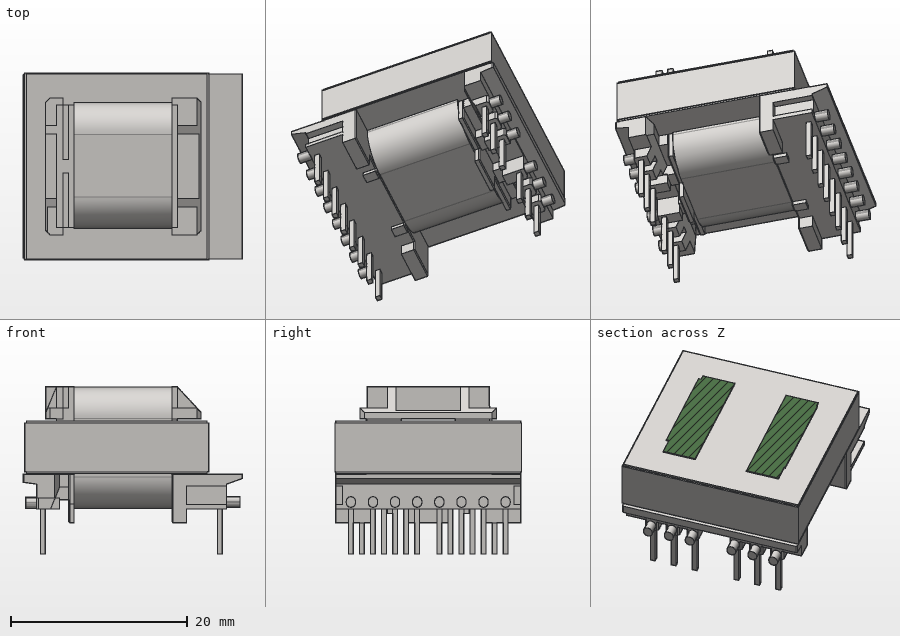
import cadquery as cq

TOP_Z = 18.91

OVERALL_LENGTH = 24.8

CORE_LENGTH = 20.82
CORE_WIDTH = 21.12
CORE_BOTTOM = 9.08
CORE_TOP = 15.05
TAPE_HEIGHT = 5.54
TAPE_THICKNESS_X = 0.19
TAPE_THICKNESS_Y = 0.09

WINDING_LEFT = -4.84
WINDING_RIGHT = 6.23
WINDING_WIDTH = 14.27
WINDING_BOTTOM = 5.12
WINDING_TOP = TOP_Z - 0.01
WINDING_RADIUS = 3.6
WINDING_OFFSET_Y = 0.09
CORE_GAP_WIDTH = 6.1

FLANGE_THICKNESS = 0.6
FLANGE_WIDTH = 13.84
LEFT_FLANGE_OUTER = WINDING_LEFT - FLANGE_THICKNESS
RIGHT_FLANGE_OUTER = WINDING_RIGHT + FLANGE_THICKNESS
FRONT_WALL_INNER = -6.1
FRONT_WALL_OUTER = -6.82
WALL_BRIDGE_WIDTH = 1.52

LEDGE_WIDTH = 15.46
LEDGE_BOTTOM = 15.27
LEDGE_TOP = 16.52
LEFT_LEDGE_OUTER = -8.05
RIGHT_LEDGE_OUTER = 9.54
LEDGE_CORNER = 0.5
LEFT_FLOOR_Z = 15.92
RIGHT_FLOOR_Z = 16.25
LEFT_SLOPE_FOOT_Z = 15.95
RIGHT_SLOPE_FOOT_Z = 16.0
RIB_INNER_Y = 3.64
RIB_THICKNESS = 0.97
RIB_OUTER_Y = RIB_INNER_Y + RIB_THICKNESS

BASE_WIDTH = 20.94
CORE_CLEARANCE = 0.04
BASE_TOP = CORE_BOTTOM - CORE_CLEARANCE
BASE_FOOT_Z = 5.07
LEG_BOTTOM = 3.52
EDGE_CHAMFER = 0.13
LIP_FOOT_Z = 7.89
LEFT_LIP_X = -10.6
LEFT_LIP_EDGE_Z = 8.1
LEFT_FACE_X = -9.07
LEFT_BACK_X = -6.47
LEFT_BEAM_BOTTOM = 6.33
BACK_CORNER_X = 0.58
BACK_CORNER_Y = 1.5
BACK_SLOPE_TOP_Z = 7.55
BACK_SLOPE_FOOT_X = -7.5
BACK_SLOPE_INNER_Y = 3.4
NOTCH_WIDTH = 3.84
NOTCH_TOP_Z = 7.6
KEY_INNER_Y = 1.57
KEY_BOTTOM = 6.13
TOOTH_WIDTH = 1.6
TOOTH_CHAMFER = 0.2
LOWER_FLANGE_BOTTOM = 5.65
CENTRE_LEG_WIDTH = 4.48

RIGHT_LIP_X = LEFT_LIP_X + OVERALL_LENGTH
RIGHT_LIP_EDGE_Z = 8.53
RIGHT_FACE_X = 12.42
LEG_OUTER_X = 7.88
SIDE_LEG_INNER_Y = 6.44
SIDE_GROOVE_BOTTOM = 5.62
SIDE_GROOVE_TOP = 7.67
SIDE_GROOVE_DEPTH = 0.75
LUG_Y = 4.1
LUG_WIDTH = 1.1
LUG_BOTTOM = 4.58

PIN_SIZE = 0.57
PIN_LENGTH = 5.75
LEFT_PIN_X = -8.35
PIN_ROW_SPACING = 20
RIGHT_PIN_X = LEFT_PIN_X + PIN_ROW_SPACING
PIN_PITCH = 2.5
LEFT_PINS_PER_SIDE = 3
RIGHT_PIN_COUNT = 8
LEFT_PIN_Y = [
    side * PIN_PITCH * step for side in (-1, 1) for step in range(1, LEFT_PINS_PER_SIDE + 1)
]
RIGHT_PIN_Y = [
    PIN_PITCH * (index - (RIGHT_PIN_COUNT - 1) / 2) for index in range(RIGHT_PIN_COUNT)
]
WIRE_WIDTH = 1.04
WIRE_HEIGHT = 1.2
LEFT_WIRE_END = -10.31
RIGHT_WIRE_END = 13.93
LEFT_WIRE_Z = 5.82
LEFT_END_WIRE_Z = 5.72
RIGHT_WIRE_Z = 5.88


def block(x_range, y_range, z_range):
    """Box between the given limits."""
    size = [high - low for low, high in (x_range, y_range, z_range)]
    corner = (x_range[0], y_range[0], z_range[0])
    return cq.Workplane("XY").box(*size, centered=False).translate(corner)


def centred(x_range, width, z_range):
    """Box symmetric about Y = 0."""
    return block(x_range, (-width / 2, width / 2), z_range)


def side_profile(points, y_range):
    """Prism along Y from an (x, z) outline."""
    depth = y_range[1] - y_range[0]
    prism = cq.Workplane("XZ").polyline(points).close().extrude(-depth)
    return prism.translate((0, y_range[0], 0))


def mirrored_pair(body):
    """The body together with its mirror image across Y = 0."""
    return body.union(body.mirror("XZ"))


def make_core():
    core = cq.Workplane("XY").box(
        CORE_LENGTH - 2 * TAPE_THICKNESS_X,
        CORE_WIDTH - 2 * TAPE_THICKNESS_Y,
        CORE_TOP - CORE_BOTTOM,
    )
    tape = cq.Workplane("XY").box(CORE_LENGTH, CORE_WIDTH, TAPE_HEIGHT)
    return core.union(tape).translate((0, 0, (CORE_TOP + CORE_BOTTOM) / 2))


def make_winding():
    winding = centred((WINDING_LEFT, WINDING_RIGHT), WINDING_WIDTH, (WINDING_BOTTOM, WINDING_TOP))
    return winding.edges("|X").fillet(WINDING_RADIUS).translate((0, WINDING_OFFSET_Y, 0))


def make_upper_flanges():
    left = centred((LEFT_FLANGE_OUTER, WINDING_LEFT), FLANGE_WIDTH, (CORE_TOP, TOP_Z))
    right = centred((WINDING_RIGHT, RIGHT_FLANGE_OUTER), FLANGE_WIDTH, (CORE_TOP, TOP_Z))
    wall = centred((FRONT_WALL_OUTER, FRONT_WALL_INNER), FLANGE_WIDTH, (CORE_TOP, TOP_Z))
    bridge = centred((FRONT_WALL_INNER, LEFT_FLANGE_OUTER), WALL_BRIDGE_WIDTH, (CORE_TOP, TOP_Z))
    neck = centred((FRONT_WALL_OUTER, LEFT_FLANGE_OUTER), FLANGE_WIDTH, (CORE_TOP, LEDGE_TOP))
    return left.union(right).union(wall).union(bridge).union(neck)


def make_left_ledge():
    ledge = centred((LEFT_LEDGE_OUTER, FRONT_WALL_INNER), LEDGE_WIDTH, (LEDGE_BOTTOM, LEDGE_TOP))
    ledge = ledge.edges("|Z and <X").chamfer(LEDGE_CORNER)
    recess = centred(
        (LEFT_LEDGE_OUTER, FRONT_WALL_OUTER), 2 * RIB_INNER_Y, (LEFT_FLOOR_Z, LEDGE_TOP)
    )
    rib = block(
        (LEFT_LEDGE_OUTER, FRONT_WALL_OUTER), (RIB_INNER_Y, RIB_OUTER_Y), (LEDGE_BOTTOM, TOP_Z)
    )
    slope = side_profile(
        [
            (LEFT_LEDGE_OUTER, LEFT_SLOPE_FOOT_Z),
            (FRONT_WALL_OUTER, TOP_Z),
            (LEFT_LEDGE_OUTER, TOP_Z),
        ],
        (-LEDGE_WIDTH / 2, -RIB_INNER_Y),
    )
    return ledge.cut(recess).union(mirrored_pair(rib)).cut(slope)


def make_right_ledge():
    ledge = centred((WINDING_RIGHT, RIGHT_LEDGE_OUTER), LEDGE_WIDTH, (LEDGE_BOTTOM, LEDGE_TOP))
    ledge = ledge.edges("|Z and >X").chamfer(LEDGE_CORNER)
    recess = centred(
        (RIGHT_FLANGE_OUTER, RIGHT_LEDGE_OUTER), 2 * RIB_INNER_Y, (RIGHT_FLOOR_Z, LEDGE_TOP)
    )
    rib = block(
        (RIGHT_FLANGE_OUTER, RIGHT_LEDGE_OUTER), (RIB_INNER_Y, RIB_OUTER_Y), (LEDGE_BOTTOM, TOP_Z)
    )
    slope = side_profile(
        [
            (RIGHT_LEDGE_OUTER, RIGHT_SLOPE_FOOT_Z),
            (RIGHT_FLANGE_OUTER, TOP_Z),
            (RIGHT_LEDGE_OUTER, TOP_Z),
        ],
        (-LEDGE_WIDTH / 2, LEDGE_WIDTH / 2),
    )
    return ledge.cut(recess).union(mirrored_pair(rib)).cut(slope)


def make_left_base():
    half = BASE_WIDTH / 2
    base = side_profile(
        [
            (LEFT_LIP_X, BASE_TOP),
            (LEFT_LIP_X, LEFT_LIP_EDGE_Z),
            (LEFT_FACE_X, LIP_FOOT_Z),
            (LEFT_FACE_X, LEFT_BEAM_BOTTOM),
            (LEFT_BACK_X, LEFT_BEAM_BOTTOM),
            (LEFT_BACK_X, BASE_TOP),
        ],
        (-half, half),
    )
    base = base.faces("<X").edges("|Z").chamfer(EDGE_CHAMFER)
    corner = (
        cq.Workplane("XY", origin=(0, 0, LEFT_BEAM_BOTTOM))
        .polyline(
            [
                (LEFT_BACK_X, half),
                (LEFT_BACK_X - BACK_CORNER_X, half),
                (LEFT_BACK_X, half - BACK_CORNER_Y),
            ]
        )
        .close()
        .extrude(BASE_TOP - LEFT_BEAM_BOTTOM)
    )
    base = base.cut(mirrored_pair(corner))
    tooth = centred((LEFT_FACE_X, LEFT_BACK_X), TOOTH_WIDTH, (BASE_FOOT_Z, LEFT_BEAM_BOTTOM))
    tooth = tooth.edges("|Z and <X").chamfer(TOOTH_CHAMFER)
    for y in LEFT_PIN_Y:
        base = base.union(tooth.translate((0, y, 0)))
    back_slope = side_profile(
        [
            (LEFT_BACK_X, BACK_SLOPE_TOP_Z),
            (BACK_SLOPE_FOOT_X, BASE_FOOT_Z),
            (LEFT_BACK_X, BASE_FOOT_Z),
        ],
        (BACK_SLOPE_INNER_Y, half),
    )
    notch = centred((LEFT_FACE_X, LEFT_BACK_X), NOTCH_WIDTH, (BASE_FOOT_Z, NOTCH_TOP_Z))
    return base.cut(mirrored_pair(back_slope)).cut(notch)


def make_lower_left_flange():
    neck = centred((LEFT_BACK_X, LEFT_FLANGE_OUTER), FLANGE_WIDTH, (BACK_SLOPE_TOP_Z, BASE_TOP))
    key = block(
        (LEFT_BACK_X, LEFT_FLANGE_OUTER), (KEY_INNER_Y, BACK_SLOPE_INNER_Y), (KEY_BOTTOM, BASE_TOP)
    )
    flange = centred(
        (LEFT_FLANGE_OUTER, WINDING_LEFT), FLANGE_WIDTH, (LOWER_FLANGE_BOTTOM, BASE_TOP)
    )
    leg = centred((LEFT_FLANGE_OUTER, WINDING_LEFT), CENTRE_LEG_WIDTH, (LEG_BOTTOM, BASE_TOP))
    plate = flange.union(leg).faces("<X").edges("not(>Z)").chamfer(EDGE_CHAMFER)
    return plate.union(neck).union(mirrored_pair(key))


def make_right_base():
    half = BASE_WIDTH / 2
    base = side_profile(
        [
            (WINDING_RIGHT, BASE_TOP),
            (RIGHT_LIP_X, BASE_TOP),
            (RIGHT_LIP_X, RIGHT_LIP_EDGE_Z),
            (RIGHT_FACE_X, LIP_FOOT_Z),
            (RIGHT_FACE_X, BASE_FOOT_Z),
            (WINDING_RIGHT, BASE_FOOT_Z),
        ],
        (-half, half),
    )
    groove = block(
        (LEG_OUTER_X, RIGHT_FACE_X),
        (half - SIDE_GROOVE_DEPTH, half),
        (SIDE_GROOVE_BOTTOM, SIDE_GROOVE_TOP),
    )
    leg_x = (WINDING_RIGHT, LEG_OUTER_X)
    side_leg = block(leg_x, (SIDE_LEG_INNER_Y, half), (LEG_BOTTOM, BASE_FOOT_Z))
    lug = centred(leg_x, LUG_WIDTH, (LUG_BOTTOM, BASE_FOOT_Z)).translate((0, LUG_Y, 0))
    base = base.cut(mirrored_pair(groove))
    base = base.union(mirrored_pair(side_leg)).union(mirrored_pair(lug))
    return base.faces("<X").edges("not(>Z)").chamfer(EDGE_CHAMFER)


def make_pin(x, y):
    pin = cq.Workplane("XY").rect(PIN_SIZE, PIN_SIZE).extrude(PIN_LENGTH)
    return pin.translate((x, y, 0))


def make_wire(x_range, y, z):
    """Wire end along X with an upright slot-shaped section."""
    wire = (
        cq.Workplane("YZ")
        .slot2D(WIRE_HEIGHT, WIRE_WIDTH, 90)
        .extrude(x_range[1] - x_range[0])
    )
    return wire.translate((x_range[0], y, z))


result = make_core()
for section in (
    make_winding(),
    make_upper_flanges(),
    make_left_ledge(),
    make_right_ledge(),
    make_left_base(),
    make_lower_left_flange(),
    make_right_base(),
):
    result = result.union(section)

result = result.cut(
    centred((LEFT_LEDGE_OUTER, RIGHT_LEDGE_OUTER), CORE_GAP_WIDTH, (CORE_TOP, LEDGE_BOTTOM))
)

for pin_y in LEFT_PIN_Y:
    is_end_pin = abs(pin_y) == LEFT_PINS_PER_SIDE * PIN_PITCH
    wire_z = LEFT_END_WIRE_Z if is_end_pin else LEFT_WIRE_Z
    result = result.union(make_pin(LEFT_PIN_X, pin_y))
    result = result.union(make_wire((LEFT_WIRE_END, LEFT_PIN_X), pin_y, wire_z))

for pin_y in RIGHT_PIN_Y:
    result = result.union(make_pin(RIGHT_PIN_X, pin_y))
    result = result.union(make_wire((RIGHT_PIN_X, RIGHT_WIRE_END), pin_y, RIGHT_WIRE_Z))